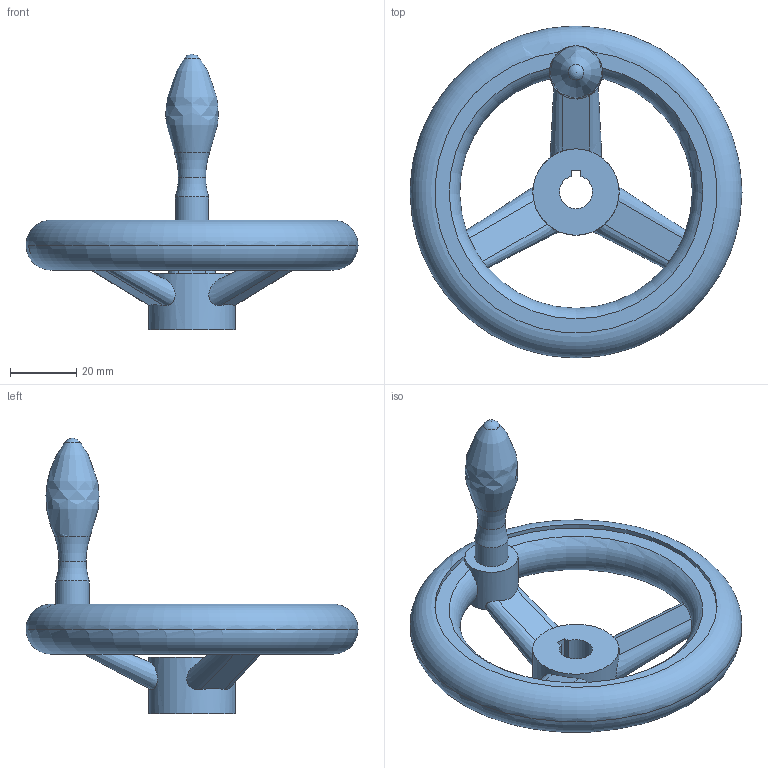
import cadquery as cq
import math

RIM_OUTER_RADIUS = 50.0
RIM_SECTION_RADIUS = 7.5
RIM_PITCH_RADIUS = RIM_OUTER_RADIUS - RIM_SECTION_RADIUS
RIM_CENTER_Z = 25.5
RIM_TOP_Z = RIM_CENTER_Z + RIM_SECTION_RADIUS
RIM_FLAT_DEPTH = 1.35

HUB_RADIUS = 13.0
HUB_HEIGHT = 17.0
BORE_RADIUS = 5.0
KEYWAY_WIDTH = 3.0
KEYWAY_TOP_Y = 6.4

SPOKE_COUNT = 3
SPOKE_FLAT_WIDTH = 8.1
SPOKE_INNER_REACH = 8.0
SPOKE_INNER_Z = 9.4
SPOKE_OUTER_REACH = RIM_PITCH_RADIUS
SPOKE_OUTER_Z = RIM_CENTER_Z
SPOKE_INNER_THICKNESS = 7.8
SPOKE_OUTER_THICKNESS = 4.2

HANDLE_Y = 36.0
BOSS_RADIUS = 8.0
BOSS_BOTTOM_Z = 19.0
BOSS_TOP_Z = RIM_TOP_Z

SHANK_RADIUS = 5.0
SHANK_TOP_Z = 40.0
NECK_RADIUS = 4.1
NECK_Z = 46.0
GRIP_RADIUS = 8.0
GRIP_CENTER_Z = 65.2
GRIP_ARC_RADIUS = 26.8
GRIP_BOTTOM_Z = 53.5
GRIP_TOP_Z = 81.6
HANDLE_TOP_Z = 83.0


def make_rim():
    """Revolved rim: round section with the inner part of its top cut down to a flat."""
    flat_z = RIM_TOP_Z - RIM_FLAT_DEPTH
    flat_half_chord = math.sqrt(RIM_SECTION_RADIUS**2 - (flat_z - RIM_CENTER_Z) ** 2)
    flat_start = (RIM_PITCH_RADIUS - flat_half_chord, flat_z)
    outer_equator = (RIM_OUTER_RADIUS, RIM_CENTER_Z)
    inner_equator = (RIM_PITCH_RADIUS - RIM_SECTION_RADIUS, RIM_CENTER_Z)
    profile = (
        cq.Workplane("YZ")
        .moveTo(RIM_PITCH_RADIUS, flat_z)
        .lineTo(RIM_PITCH_RADIUS, RIM_TOP_Z)
        .radiusArc(outer_equator, RIM_SECTION_RADIUS)
        .threePointArc((RIM_PITCH_RADIUS, RIM_CENTER_Z - RIM_SECTION_RADIUS), inner_equator)
        .radiusArc(flat_start, RIM_SECTION_RADIUS)
        .close()
    )
    return profile.revolve(360, (0, 0), (0, 1))


def make_hub():
    return cq.Workplane("XY").circle(HUB_RADIUS).extrude(HUB_HEIGHT)


def make_bore():
    bore = cq.Workplane("XY").circle(BORE_RADIUS).extrude(HUB_HEIGHT)
    keyway = (
        cq.Workplane("XY")
        .rect(KEYWAY_WIDTH, KEYWAY_TOP_Y, centered=(True, False))
        .extrude(HUB_HEIGHT)
    )
    return bore.union(keyway)


def make_spoke():
    """Spoke along +Y, lofted between two slot sections square to its sloping axis."""
    run = SPOKE_OUTER_REACH - SPOKE_INNER_REACH
    rise = SPOKE_OUTER_Z - SPOKE_INNER_Z
    inner_plane = cq.Plane(
        origin=(0, SPOKE_INNER_REACH, SPOKE_INNER_Z), xDir=(1, 0, 0), normal=(0, run, rise)
    )
    return (
        cq.Workplane(inner_plane)
        .slot2D(SPOKE_FLAT_WIDTH + SPOKE_INNER_THICKNESS, SPOKE_INNER_THICKNESS)
        .workplane(offset=math.hypot(run, rise))
        .slot2D(SPOKE_FLAT_WIDTH + SPOKE_OUTER_THICKNESS, SPOKE_OUTER_THICKNESS)
        .loft(ruled=True)
    )


def make_boss():
    return (
        cq.Workplane("XY", origin=(0, HANDLE_Y, BOSS_BOTTOM_Z))
        .circle(BOSS_RADIUS)
        .extrude(BOSS_TOP_Z - BOSS_BOTTOM_Z)
    )


def grip_radius_at(z):
    """Radius of the barrel-shaped grip at height z."""
    arc_height = math.sqrt(GRIP_ARC_RADIUS**2 - (z - GRIP_CENTER_Z) ** 2)
    return GRIP_RADIUS - GRIP_ARC_RADIUS + arc_height


def arc_radius(half_chord, sagitta):
    """Radius of the arc that rises by sagitta over half_chord from its tangent point."""
    return (half_chord**2 + sagitta**2) / (2 * sagitta)


def make_handle():
    """Revolved handle: shank, waisted neck, barrel grip and domed tip."""
    grip_bottom = (grip_radius_at(GRIP_BOTTOM_Z), GRIP_BOTTOM_Z)
    tip_radius = grip_radius_at(GRIP_TOP_Z)
    neck_arc_radius = arc_radius(NECK_Z - SHANK_TOP_Z, SHANK_RADIUS - NECK_RADIUS)
    tip_arc_radius = arc_radius(tip_radius, HANDLE_TOP_Z - GRIP_TOP_Z)
    profile = (
        cq.Workplane("YZ", origin=(0, HANDLE_Y, 0))
        .moveTo(0, BOSS_BOTTOM_Z)
        .lineTo(SHANK_RADIUS, BOSS_BOTTOM_Z)
        .lineTo(SHANK_RADIUS, SHANK_TOP_Z)
        .radiusArc((NECK_RADIUS, NECK_Z), neck_arc_radius)
        .tangentArcPoint(grip_bottom, relative=False)
        .threePointArc((GRIP_RADIUS, GRIP_CENTER_Z), (tip_radius, GRIP_TOP_Z))
        .radiusArc((0, HANDLE_TOP_Z), -tip_arc_radius)
        .close()
    )
    return profile.revolve(360, (0, 0), (0, 1))


wheel = make_rim().union(make_hub()).union(make_boss())
for index in range(SPOKE_COUNT):
    spoke = make_spoke().rotate((0, 0, 0), (0, 0, 1), index * 360 / SPOKE_COUNT)
    wheel = wheel.union(spoke)

result = wheel.union(make_handle()).cut(make_bore())